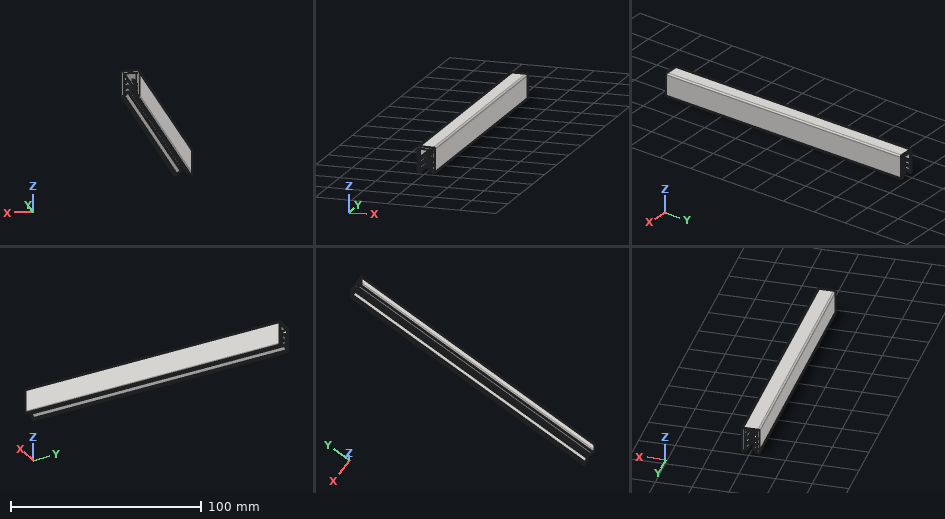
import cadquery as cq

length = 152.4
width = 9.6
height = 14.0
wall = 1.4
top_radius = 0.9
lip_radius = 0.67

fin_rows = 3
fin_pitch = 3.2
fin_reach = 2.3
first_root_drop = 7.2
root_thickness = 1.0
tip_rise = 1.7
tip_thickness = 0.6

inner_face_x = width / 2 - wall


def make_channel():
    """U-shaped profile with rounded outer top edges and rounded lips."""
    body = cq.Workplane("XY").box(width, length, height, centered=(True, True, False))
    body = body.translate((0, 0, -height))
    body = body.edges("|Y and >Z").fillet(top_radius)
    cavity_height = height - wall
    cavity = (
        cq.Workplane("XY")
        .box(2 * inner_face_x, length, cavity_height, centered=(True, True, False))
        .translate((0, 0, -height))
    )
    return body.cut(cavity).edges("|Y and <Z").fillet(lip_radius)


def make_fin(side, row):
    """One full-length fin on the left (side = -1) or right (side = 1) wall."""
    root_x = side * inner_face_x
    tip_x = side * (inner_face_x - fin_reach)

    root_bottom = -first_root_drop - row * fin_pitch
    root_top = root_bottom + root_thickness
    tip_bottom = root_bottom + tip_rise
    tip_top = tip_bottom + tip_thickness

    return (
        cq.Workplane("XZ")
        .moveTo(root_x, root_bottom)
        .lineTo(tip_x, tip_bottom)
        .lineTo(tip_x, tip_top)
        .lineTo(root_x, root_top)
        .close()
        .extrude(length / 2, both=True)
    )


channel = make_channel()

fins = []
for side in (-1, 1):
    for row in range(fin_rows):
        fins.append(make_fin(side, row).val())

result = cq.Compound.makeCompound([channel.val(), *fins])